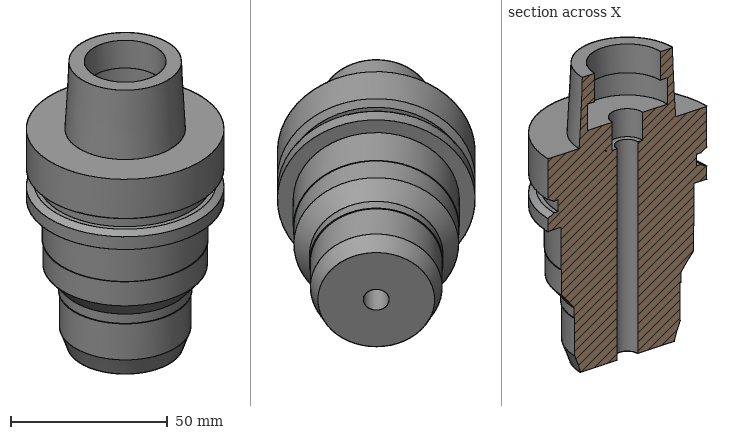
import cadquery as cq

total_height = 105.0
flange_radius = 31.5

shank_length = 25.0
shank_top_radius = 18.0
shank_base_radius = 19.2

flange_height = 26.0
groove_depth_below_flange_top = 18.0
groove_radius = 27.5
groove_floor_width = 4.0
groove_chamfer_height = 1.4
groove_chamfer_width = 2.4

collar_radius = 26.5
collar_bottom = 39.0
body_radius = 26.2
body_bottom = 29.9
neck_radius = 21.3
neck_top = 23.9
neck_bottom = 20.3
nose_radius = 21.0
nose_taper_height = 6.7
nose_tip_radius = 18.6

socket_radius = 13.0
socket_lip_depth = 10.3
undercut_radius = 15.8
socket_depth = 19.5
counterbore_radius = 6.0
counterbore_depth = 10.0
through_radius = 4.1

flange_top = total_height - shank_length
flange_bottom = flange_top - flange_height
groove_middle = flange_top - groove_depth_below_flange_top
groove_floor_top = groove_middle + groove_floor_width / 2
groove_floor_bottom = groove_middle - groove_floor_width / 2
groove_edge_radius = flange_radius - groove_chamfer_width
socket_floor = total_height - socket_depth


def turned_body():
    """Revolve the outer half profile about the Z axis."""
    half_profile = [
        (0, 0),
        (nose_tip_radius, 0),
        (nose_radius, nose_taper_height),
        (nose_radius, neck_bottom),
        (neck_radius, neck_bottom),
        (neck_radius, neck_top),
        (body_radius, body_bottom),
        (body_radius, collar_bottom),
        (collar_radius, collar_bottom),
        (collar_radius, flange_bottom),
        (flange_radius, flange_bottom),
        (flange_radius, groove_floor_bottom - groove_chamfer_height),
        (groove_edge_radius, groove_floor_bottom),
        (groove_radius, groove_floor_bottom),
        (groove_radius, groove_floor_top),
        (groove_edge_radius, groove_floor_top),
        (flange_radius, groove_floor_top + groove_chamfer_height),
        (flange_radius, flange_top),
        (shank_base_radius, flange_top),
        (shank_top_radius, total_height),
        (0, total_height),
    ]
    return cq.Workplane("XZ").polyline(half_profile).close().revolve(360, (0, 0), (0, 1))


def bore(radius, top, depth):
    """Cylinder on the Z axis reaching down from the given level."""
    return cq.Workplane("XY").workplane(offset=top).circle(radius).extrude(-depth)


result = (
    turned_body()
    .cut(bore(socket_radius, total_height, socket_lip_depth))
    .cut(bore(undercut_radius, total_height - socket_lip_depth, socket_depth - socket_lip_depth))
    .cut(bore(counterbore_radius, socket_floor, counterbore_depth))
    .cut(bore(through_radius, total_height, total_height))
)